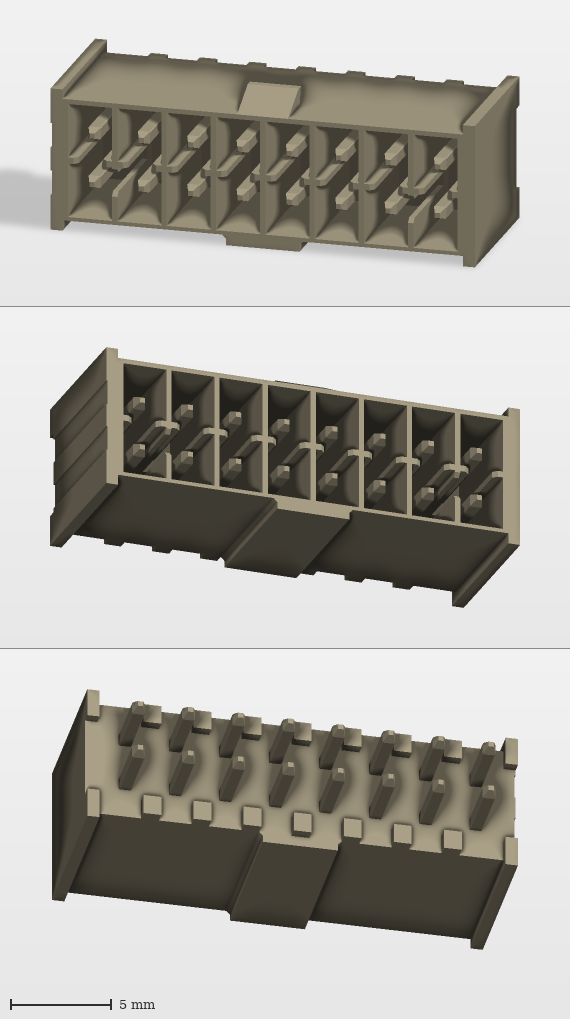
import cadquery as cq


columns = 8
pitch = 2.54
overlap = 0.1

total_length = 21.84
end_plate_thickness = 0.62
end_plate_height = 7.37
body_depth = 7.6
rear_step = 0.53
body_bottom = 0.54
body_top = 6.88
row_middle = end_plate_height / 2
body_length = total_length - 2 * end_plate_thickness
end_plate_depth = body_depth + rear_step

rear_band_bottom = 1.59
rear_band_top = 5.86
standoff_width = 0.9

pocket_width = 2.26
pocket_height = 2.79
pocket_depth = 6.35
slot_depth = 5.5
row_wall = 0.32
slot_flare = 0.22
row_slot_width = 1.26
column_slot_height = 0.99
column_slot_middle = 2.73
pocket_offset = (pocket_height + row_wall) / 2

pin_size = 0.64
pin_edge_chamfer = 0.05
pin_tip_size = 0.27
pin_taper = 0.5
pin_front = 0.35
pin_rear = 11.18

latch_width = 2.62
latch_top = 7.85
latch_crest_front = 1.92
latch_crest_rear = 2.33
latch_foot_rear = 2.07

key_width = 3.8
key_flare = 0.19

groove_depth = 0.07
groove_height = pitch / 2
groove_spacing = 2.48

column_positions = [(i - (columns - 1) / 2) * pitch for i in range(columns)]
gap_positions = [x + pitch / 2 for x in column_positions[:-1]]


def block(x_range, y_range, z_range):
    """Axis-aligned box between the given limits."""
    lows, highs = zip(x_range, y_range, z_range)
    sizes = [high - low for low, high in zip(lows, highs)]
    return cq.Workplane("XY").box(*sizes, centered=False).translate(lows)


def span(middle, size):
    """Limits of a stretch of the given size about its middle."""
    return (middle - size / 2, middle + size / 2)


def flared_slot(plane, middle, width, start, length):
    """Slot open at the mating face, its mouth flared at 45 degrees, extruded along the plane normal."""
    half = width / 2
    mouth = half + slot_flare
    outline = [
        (middle - mouth, 0),
        (middle + mouth, 0),
        (middle + half, slot_flare),
        (middle + half, slot_depth),
        (middle - half, slot_depth),
        (middle - half, slot_flare),
    ]
    return cq.Workplane(plane).polyline(outline).close().extrude(length).translate(start)


def make_housing():
    """Body between two end plates, with the standoffs on its rear face."""
    body_overlapped = span(0, body_length + 2 * overlap)
    housing = block(body_overlapped, (0, body_depth), (body_bottom, body_top))
    plate_middle = (total_length - end_plate_thickness) / 2
    for side in (-1, 1):
        x_range = span(side * plate_middle, end_plate_thickness)
        housing = housing.union(block(x_range, (0, end_plate_depth), (0, end_plate_height)))
    for x in gap_positions:
        for z_range in ((body_bottom, rear_band_bottom), (rear_band_top, body_top)):
            y_range = (body_depth - overlap, end_plate_depth)
            housing = housing.union(block(span(x, standoff_width), y_range, z_range))
    rear_band = block(
        span(0, total_length), (body_depth, end_plate_depth), (rear_band_bottom, rear_band_top)
    )
    return housing.cut(rear_band)


def make_latch():
    """Ramp rising from the mating edge to an undercut rear face."""
    outline = [
        (0, body_top),
        (latch_crest_front, latch_top),
        (latch_crest_rear, latch_top),
        (latch_foot_rear, body_top),
        (latch_foot_rear, body_top - overlap),
        (0, body_top - overlap),
    ]
    return cq.Workplane("YZ").polyline(outline).close().extrude(latch_width / 2, both=True)


def make_key_rib():
    """Rib along the bottom, widening where it joins the body."""
    half = key_width / 2
    root = half + key_flare
    outline = [
        (-half, 0),
        (half, 0),
        (half, body_bottom - key_flare),
        (root, body_bottom),
        (-root, body_bottom),
        (-half, body_bottom - key_flare),
    ]
    return cq.Workplane("XZ").polyline(outline).close().extrude(-body_depth)


def cut_pockets(housing):
    """Two rows of contact pockets open at the mating face."""
    for x in column_positions:
        for side in (-1, 1):
            z_range = span(row_middle + side * pocket_offset, pocket_height)
            housing = housing.cut(block(span(x, pocket_width), (0, pocket_depth), z_range))
    return housing


def cut_row_slots(housing):
    """Slot through the wall between the two pockets of every column."""
    start = (0, 0, row_middle - row_wall / 2)
    for x in column_positions:
        housing = housing.cut(flared_slot("XY", x, row_slot_width, start, row_wall))
    return housing


def cut_column_slots(housing):
    """Slots in the lower row, joining each end pocket to its neighbour."""
    wall = pitch - pocket_width
    for x in (gap_positions[0], gap_positions[-1]):
        start = (x + wall / 2, 0, 0)
        slot = flared_slot("ZY", column_slot_middle, column_slot_height, start, wall)
        housing = housing.cut(slot)
    return housing


def cut_end_grooves(housing):
    """Grooves running the depth of the -X end plate."""
    x_range = (-total_length / 2, -total_length / 2 + groove_depth)
    for z in span(row_middle, groove_spacing):
        housing = housing.cut(block(x_range, (0, end_plate_depth), span(z, groove_height)))
    return housing


def pin_tip(base_y, direction):
    """Tapered square tip from base_y; direction +1 points to the tail, -1 to the mating face."""
    tip = cq.Workplane("XZ").rect(pin_size, pin_size)
    tip = tip.workplane(offset=-direction * pin_taper).rect(pin_tip_size, pin_tip_size)
    return tip.loft(ruled=True).translate((0, base_y, 0))


def make_pin():
    """Square pin along Y with a tapered tip at each end and its long edges chamfered."""
    shank_front = pin_front + pin_taper
    shank_rear = pin_rear - pin_taper
    width = span(0, pin_size)
    shank = block(width, (shank_front, shank_rear), width)
    square_pin = shank.union(pin_tip(shank_front, -1)).union(pin_tip(shank_rear, 1))
    wire = block(width, (pin_front, pin_rear), width).edges("|Y").chamfer(pin_edge_chamfer)
    return square_pin.intersect(wire)


def add_pins(housing):
    """One pin per pocket, through the rear wall of the housing."""
    pin = make_pin()
    for x in column_positions:
        for side in (-1, 1):
            housing = housing.union(pin.translate((x, 0, row_middle + side * pitch / 2)))
    return housing


header = make_housing().union(make_latch()).union(make_key_rib())
header = cut_pockets(header)
header = cut_row_slots(header)
header = cut_column_slots(header)
header = cut_end_grooves(header)
result = add_pins(header)